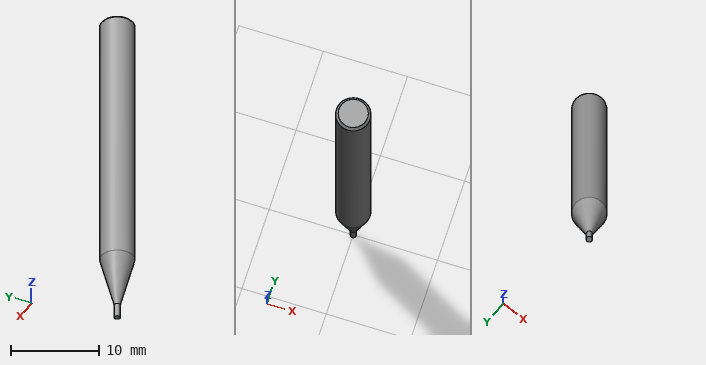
import cadquery as cq
import math

overall_length = 40.0
shank_diameter = 4.0
end_chamfer = 0.3
tip_diameter = 0.7
tip_length = 1.7
cone_half_angle = 15.0

shank_radius = shank_diameter / 2
tip_radius = tip_diameter / 2
cone_length = (shank_radius - tip_radius) / math.tan(math.radians(cone_half_angle))
shank_start = tip_length + cone_length


def make_tip():
    """Slim cylindrical cutting tip at the lower end."""
    return cq.Workplane("XY").circle(tip_radius).extrude(tip_length)


def make_shank():
    """Round shank with a conical lower end and a chamfered upper end."""
    half_profile = (
        cq.Workplane("XZ")
        .moveTo(0, tip_length)
        .lineTo(tip_radius, tip_length)
        .lineTo(shank_radius, shank_start)
        .lineTo(shank_radius, overall_length - end_chamfer)
        .lineTo(shank_radius - end_chamfer, overall_length)
        .lineTo(0, overall_length)
        .close()
    )
    return half_profile.revolve(360, (0, 0), (0, 1))


tip = make_tip()
shank = make_shank()

result = cq.Compound.makeCompound([tip.val(), shank.val()])